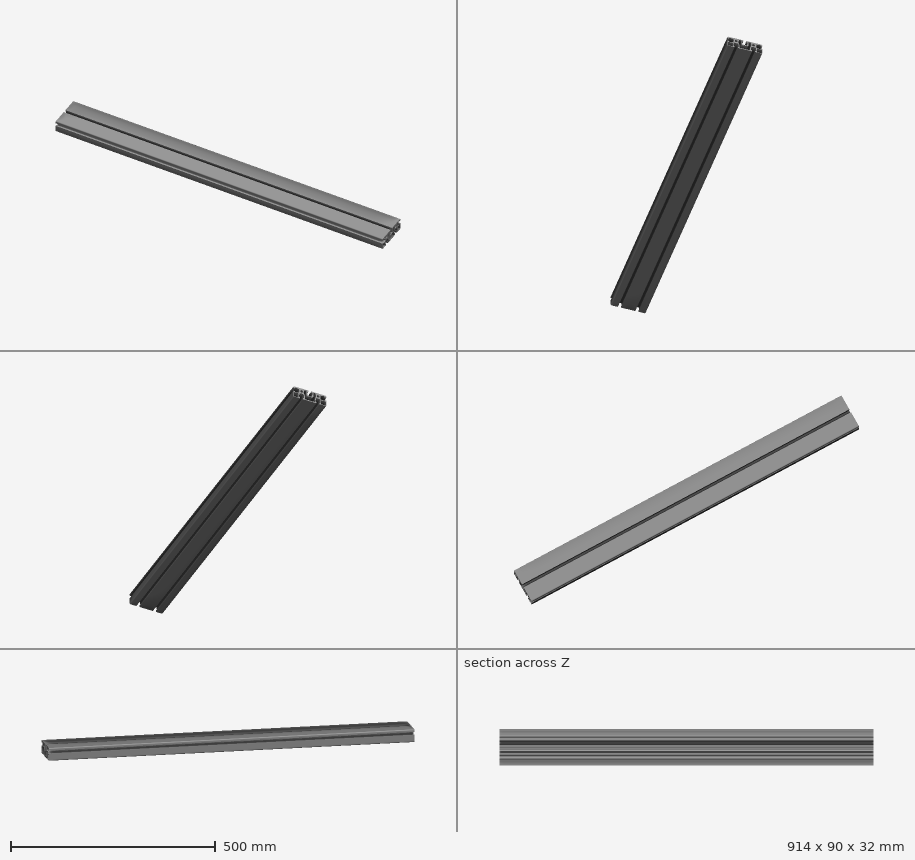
import cadquery as cq

length = 914.0
width = 90.0
height = 32.0
corner_radius = 2.5

slot_half_opening = 4.1
slot_lip = 5.0
slot_half_head = 6.9
slot_taper_depth = 8.0
slot_taper_inset = 1.4
slot_depth = 16.0
groove_half_width = 1.4

side_slot_z = 22.0
bottom_slot_y = width / 4

bore_diameter = 7.0
bore_y = bottom_slot_y
bore_z = 23.0

box_wall = 1.4
box_corner_radius = 1.4
core_wall = 2.3
bore_wall = 2.0

core_side_y = 15.0
core_hip_z = 14.0
core_shoulder_z = 12.0
core_trough_z = 14.0
core_trough_chamfer = 3.0

bottom_head_inner_y = bottom_slot_y - slot_half_head
bottom_head_outer_y = bottom_slot_y + slot_half_head


def prism(sketch):
    """Extrude a Y-Z outline along the whole bar."""
    return sketch.extrude(length)


def mirrored(half):
    """The other half of a symmetric outline, continuing from the end of the first half."""
    return [(-y, z) for y, z in reversed(half)]


def prism_from_points(points):
    return prism(cq.Workplane("YZ").polyline(points).close())


def with_mirror(solid):
    """Join a solid with its mirror image across the middle plane of the bar."""
    return solid.union(solid.mirror("XZ"))


def t_slot():
    """Cutter for a slot whose mouth lies on Z = 0 and which goes down from there."""
    half_floor = slot_half_head - slot_taper_inset
    half = [
        (slot_half_opening, 0),
        (slot_half_opening, -slot_lip),
        (slot_half_head, -slot_lip),
        (slot_half_head, -slot_taper_depth),
        (half_floor, -slot_depth),
        (groove_half_width, -slot_depth),
    ]
    groove_tip = (0, -slot_depth - groove_half_width)
    return prism_from_points(half + [groove_tip] + mirrored(half))


def turned(slot, angle):
    return slot.rotate((0, 0, 0), (1, 0, 0), angle)


def top_slot():
    return t_slot().translate((0, 0, height))


def bottom_slots():
    return with_mirror(turned(t_slot(), 180).translate((0, bottom_slot_y, 0)))


def side_slots():
    return with_mirror(turned(t_slot(), 90).translate((0, -width / 2, side_slot_z)))


def box_chambers():
    """Closed rectangular chambers in the two lower corners."""
    inner_y = bottom_head_outer_y + box_wall
    outer_y = width / 2 - box_wall
    top_z = side_slot_z - slot_half_head - box_wall
    box = prism_from_points(
        [(inner_y, box_wall), (outer_y, box_wall), (outer_y, top_z), (inner_y, top_z)]
    )
    return with_mirror(box.edges("|X").fillet(box_corner_radius))


def core_chamber():
    """U-shaped chamber that wraps the top slot and is waisted beside the bores."""
    trough_y = slot_half_head + core_wall
    roof_z = height - core_wall
    waist_y = bore_y - bore_diameter / 2 - bore_wall
    lower_y = bottom_head_inner_y - core_wall
    half = [
        (trough_y - core_trough_chamfer, core_trough_z),
        (trough_y, core_trough_z + core_trough_chamfer),
        (trough_y, roof_z),
        (core_side_y, roof_z),
        (waist_y, bore_z),
        (core_side_y, core_hip_z),
        (lower_y, core_shoulder_z),
        (lower_y, core_wall),
    ]
    return prism_from_points(half + mirrored(half))


def bores():
    centers = [(bore_y, bore_z), (-bore_y, bore_z)]
    return prism(cq.Workplane("YZ").pushPoints(centers).circle(bore_diameter / 2))


bar = (
    cq.Workplane("YZ")
    .center(0, height / 2)
    .rect(width, height)
    .extrude(length)
    .edges("|X")
    .fillet(corner_radius)
)
for cutter in (top_slot(), bottom_slots(), side_slots(), box_chambers(), core_chamber(), bores()):
    bar = bar.cut(cutter)
result = bar